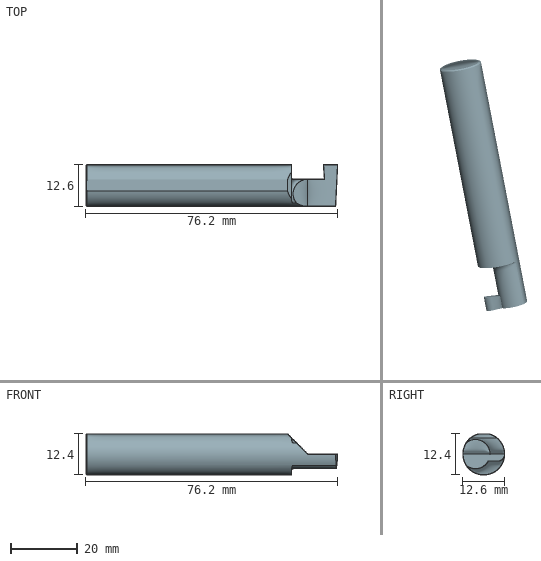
import cadquery as cq

length = 76.2
shank_radius = 6.3
flat_height = 6.1
shoulder_x = 62.25
chamfer_length = 0.3
chamfer_depth = 0.5

neck_radius = 4.4
neck_side = 1.9
neck_axis_y = neck_side - neck_radius
fillet_radius = 0.45

tip_width = 4.35
hook_inner_lean = 0.3
end_lean = 0.6
tip_relief_radius = 2.1

slope_start_x = 67.1


def make_shank():
    profile = (
        cq.Workplane("XY")
        .lineTo(0, shank_radius - chamfer_depth)
        .lineTo(chamfer_length, shank_radius)
        .lineTo(shoulder_x, shank_radius)
        .lineTo(shoulder_x, 0)
        .close()
    )
    return profile.revolve(360, (0, 0, 0), (1, 0, 0))


def make_neck():
    """Neck with a concave fillet at the shoulder, trimmed to the shank cylinder."""
    neck = (
        cq.Workplane("XY", origin=(shoulder_x, neck_axis_y, 0))
        .lineTo(0, neck_radius + fillet_radius)
        .radiusArc((fillet_radius, neck_radius), -fillet_radius)
        .lineTo(length - shoulder_x, neck_radius)
        .lineTo(length - shoulder_x, 0)
        .close()
        .revolve(360, (0, 0, 0), (1, 0, 0))
    )
    envelope = cq.Workplane("YZ").circle(shank_radius).extrude(length)
    return neck.intersect(envelope)


def make_hook():
    """Hook reaching out to +Y, with a rounded relief below its cutting edge."""
    outer_x = length - tip_width
    plan = (
        cq.Workplane("XY", origin=(0, 0, -tip_relief_radius))
        .moveTo(outer_x + hook_inner_lean, neck_axis_y)
        .lineTo(outer_x + hook_inner_lean, neck_side)
        .lineTo(outer_x, shank_radius)
        .lineTo(length, shank_radius)
        .lineTo(length, neck_axis_y)
        .close()
        .extrude(tip_relief_radius)
    )
    section = (
        cq.Workplane("YZ")
        .moveTo(neck_axis_y, 0)
        .lineTo(shank_radius, 0)
        .radiusArc((shank_radius - tip_relief_radius, -tip_relief_radius), tip_relief_radius)
        .lineTo(neck_axis_y, -tip_relief_radius)
        .close()
        .extrude(length)
    )
    return plan.intersect(section)


def make_top_clearance():
    """Space above the flat, the 45 degree slope and the cutting face."""
    beyond = length + shank_radius
    above = 2 * shank_radius
    return (
        cq.Workplane("XZ")
        .moveTo(0, flat_height)
        .lineTo(slope_start_x - flat_height, flat_height)
        .lineTo(slope_start_x, 0)
        .lineTo(beyond, 0)
        .lineTo(beyond, above)
        .lineTo(0, above)
        .close()
        .extrude(2 * shank_radius, both=True)
    )


def make_end_clearance():
    """Wedge that leans the end face back from the tip towards -Y."""
    return (
        cq.Workplane("XY")
        .moveTo(length, shank_radius)
        .lineTo(length - end_lean, -shank_radius)
        .lineTo(length, -shank_radius)
        .close()
        .extrude(shank_radius, both=True)
    )


result = make_shank().union(make_neck()).union(make_hook())
result = result.cut(make_top_clearance()).cut(make_end_clearance())